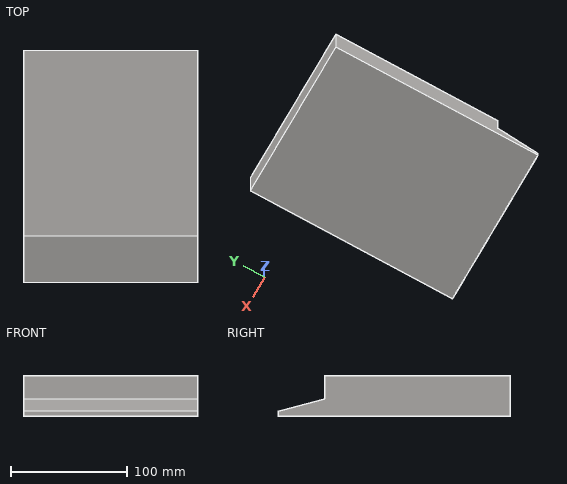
import cadquery as cq

width = 150.0
length = 200.0
height = 35.0

lip_length = 40.0
lip_root_height = 15.0
lip_tip_height = 4.5

lip_root_y = lip_length

profile = [
    (0, 0),
    (length, 0),
    (length, height),
    (lip_root_y, height),
    (lip_root_y, lip_root_height),
    (0, lip_tip_height),
]

result = cq.Workplane("YZ").polyline(profile).close().extrude(width)